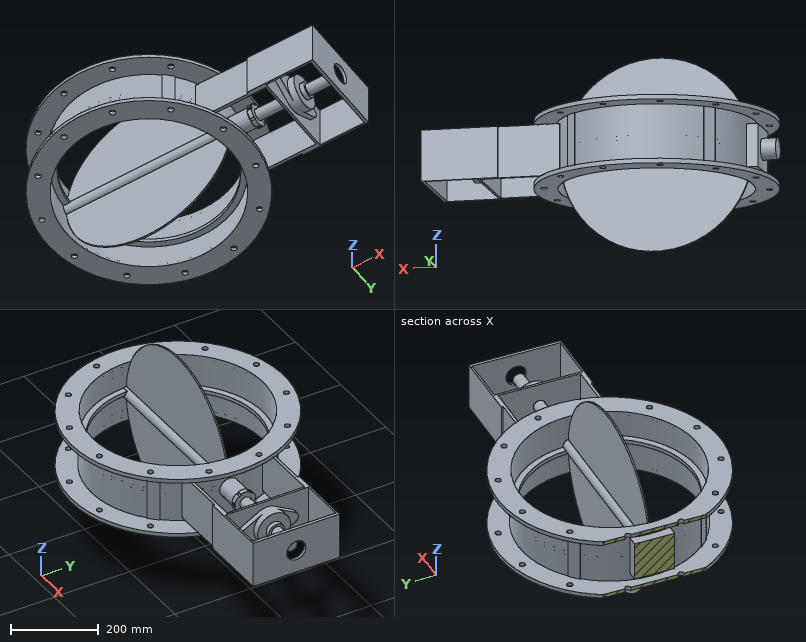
import cadquery as cq
import math


overall_length = 808.0

bore_radius = 225.0
body_radius = 228.0
root_depth = 1.0
root_radius = bore_radius + root_depth
body_height = 159.0
flange_diameter = 560.0
flange_thickness = 10.5
bolt_count = 12
bolt_circle_radius = 257.0
bolt_hole_diameter = 14.0

seat_inner_radius = 209.0
seat_thickness = 10.0
seat_gap = 2.5

disc_diameter = 450.0
disc_thickness = 4.0
shaft_diameter = 30.0
shaft_end = 502.5

pad_size = 100.0
pad_face = -248.0
boss_diameter = 50.0
boss_end = -284.0

strip_count = 4
strip_width = 30.0
strip_face_radius = 229.5

gland_end = 287.0
nut_diameter = 57.0
nut_end = 299.0
nut_slot_count = 6
nut_slot_width = 6.0
nut_slot_depth = 2.5

bracket_height = 119.5
frame_start = 201.0
frame_end = 394.0
frame_half_width = 110.0
frame_side_wall = 7.0
frame_end_wall = 6.0
cap_start = 345.0
cap_end = boss_end + overall_length
cap_side_wall = 5.0
cap_end_wall = 8.0
cap_hole_diameter = 50.0

hub_diameter = 87.0
hub_end = 426.0
lug_radius = 14.5
lug_offset = 61.0
lug_end = 408.0
collar_diameter = 42.0
collar_end = 438.0


def ring(outer_radius, inner_radius, bottom, top):
    """Ring about the bore axis."""
    profile = cq.Workplane("XY").workplane(offset=bottom).circle(outer_radius).circle(inner_radius)
    return profile.extrude(top - bottom)


def rod(diameter, start, end):
    """Cylinder on the shaft axis from X = start to X = end."""
    return cq.Workplane("YZ").workplane(offset=start).circle(diameter / 2).extrude(end - start)


def block(x_start, x_end, half_width, height):
    """Box centred on the shaft axis."""
    size_x = x_end - x_start
    return cq.Workplane("XY").box(size_x, 2 * half_width, height).translate((x_start + size_x / 2, 0, 0))


def u_frame(start, end, half_width, side_wall, end_wall):
    """U-shaped frame, open toward -X, +Z and -Z."""
    outside = block(start, end, half_width, bracket_height)
    opening = block(start, end - end_wall, half_width - side_wall, bracket_height)
    return outside.cut(opening)


def make_body():
    """Thin cylinder with a drilled flange at each end."""
    half_height = body_height / 2
    body = ring(body_radius, bore_radius, -half_height, half_height)
    for bottom in (-half_height, half_height - flange_thickness):
        body = body.union(ring(flange_diameter / 2, bore_radius, bottom, bottom + flange_thickness))
    holes = (
        cq.Workplane("XY")
        .workplane(offset=-half_height)
        .polarArray(bolt_circle_radius, 180 / bolt_count, 360, bolt_count)
        .circle(bolt_hole_diameter / 2)
        .extrude(body_height)
    )
    return body.cut(holes)


def make_seat(side):
    """Half ring on the +Y side (side = 1, below the disc) or the -Y side (side = -1, above it)."""
    bottom = -seat_gap - seat_thickness if side > 0 else seat_gap
    full_ring = ring(root_radius, seat_inner_radius, bottom, bottom + seat_thickness)
    half_space = cq.Workplane("XY").box(2 * body_radius, body_radius, body_height)
    return full_ring.intersect(half_space.translate((0, side * body_radius / 2, 0)))


def make_disc():
    """Open disc, standing in the XZ plane."""
    profile = cq.Workplane("XZ").workplane(offset=-disc_thickness / 2).circle(disc_diameter / 2)
    return profile.extrude(disc_thickness)


def make_strips():
    """Label strips between the flanges, midway between the X and Y axes."""
    strip = block(bore_radius, strip_face_radius, strip_width / 2, body_height - 2 * flange_thickness)
    strips = cq.Workplane("XY")
    for index in range(strip_count):
        angle = (index + 0.5) * 360 / strip_count
        strips = strips.union(strip.rotate((0, 0, 0), (0, 0, 1), angle))
    return strips


def make_closed_bearing():
    """Square pad against the body with a round boss on it."""
    pad = block(pad_face, -seat_inner_radius, pad_size / 2, pad_size)
    return pad.union(rod(boss_diameter, boss_end, pad_face))


def make_gland():
    """Round neck carrying a ring nut with spanner slots along its rim."""
    nut_radius = nut_diameter / 2
    slots = (
        cq.Workplane("YZ")
        .workplane(offset=gland_end)
        .polarArray(nut_radius, 0, 360, nut_slot_count)
        .rect(2 * nut_slot_depth, nut_slot_width)
        .extrude(nut_end - gland_end)
    )
    nut = rod(nut_diameter, gland_end, nut_end).cut(slots)
    return rod(boss_diameter, seat_inner_radius, gland_end).union(nut)


def make_bracket():
    """Inner frame and cap, with a hole in the cap's end wall in line with the shaft."""
    frame = u_frame(frame_start, frame_end, frame_half_width, frame_side_wall, frame_end_wall)
    cap = u_frame(cap_start, cap_end, frame_half_width + cap_side_wall, cap_side_wall, cap_end_wall)
    cap = cap.cut(rod(cap_hole_diameter, cap_end - cap_end_wall, cap_end))
    return frame.union(cap)


def make_flange_bearing():
    """Round hub on a diamond flange, whose straight sides are tangent to the hub and to both lugs."""
    hub_radius = hub_diameter / 2
    tangent_sine = (hub_radius - lug_radius) / lug_offset
    tangent_cosine = math.sqrt(1 - tangent_sine**2)
    hub_y, hub_z = hub_radius * tangent_sine, hub_radius * tangent_cosine
    lug_y, lug_z = lug_offset + lug_radius * tangent_sine, lug_radius * tangent_cosine
    lug_tip = lug_offset + lug_radius
    flange = (
        cq.Workplane("YZ")
        .workplane(offset=frame_end)
        .moveTo(-hub_y, hub_z)
        .lineTo(hub_y, hub_z)
        .lineTo(lug_y, lug_z)
        .threePointArc((lug_tip, 0), (lug_y, -lug_z))
        .lineTo(hub_y, -hub_z)
        .lineTo(-hub_y, -hub_z)
        .lineTo(-lug_y, -lug_z)
        .threePointArc((-lug_tip, 0), (-lug_y, lug_z))
        .close()
        .extrude(lug_end - frame_end)
    )
    hub = rod(hub_diameter, frame_end, hub_end)
    collar = rod(collar_diameter, hub_end, collar_end)
    return flange.union(hub).union(collar)


core = cq.Workplane("XY").circle(root_radius).extrude(body_height, both=True)
outside_parts = make_strips().union(make_closed_bearing()).union(make_gland())
disc_on_shaft = make_disc().union(rod(shaft_diameter, -root_radius, shaft_end))

result = (
    make_body()
    .union(outside_parts.cut(core))
    .union(make_seat(1))
    .union(make_seat(-1))
    .union(disc_on_shaft)
    .union(make_bracket())
    .union(make_flange_bearing())
)